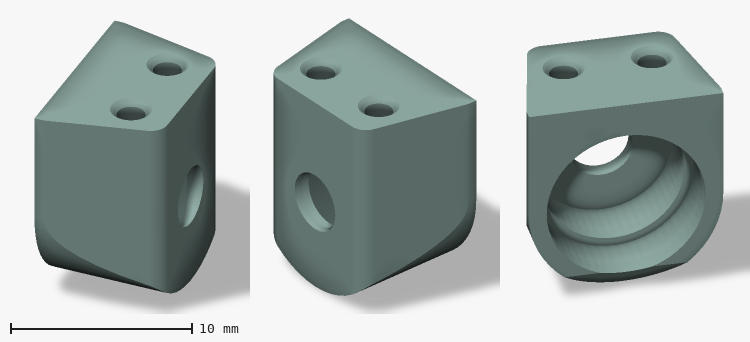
import cadquery as cq

depth = 7.0
width = 11.0
height = 12.0
radius = width / 2
axis_z = radius

straight_flank = 0.58
back_width = 8.0
back_corner_radius = 1.0

mouth_diameter = 9.0
mouth_depth = 3.0
bore_diameter = 8.0
bore_depth = 6.0
exit_diameter = 3.5

bevel_depth = 0.84
bevel_height = 1.25

screw_x = 4.5
screw_spacing = 5.0
screw_diameter = 1.6
countersink_diameter = 2.3
countersink_depth = (countersink_diameter - screw_diameter) / 2


def arched_block():
    """Flat-topped block with a half-round underside."""
    block = cq.Workplane("XY").box(depth, width, height - axis_z, centered=(False, True, False))
    block = block.translate((0, 0, axis_z))
    underside = cq.Workplane("YZ").center(0, axis_z).circle(radius).extrude(depth)
    return block.union(underside)


def tapered_plan():
    """Full-height prism that narrows toward a back with rounded corners."""
    outline = [
        (0, -width / 2),
        (straight_flank, -width / 2),
        (depth, -back_width / 2),
        (depth, back_width / 2),
        (straight_flank, width / 2),
        (0, width / 2),
    ]
    prism = cq.Workplane("XY").polyline(outline).close().extrude(height)
    return prism.edges("|Z and >X").fillet(back_corner_radius)


def bore_cylinder(diameter, length):
    """Cylinder on the bore axis, starting at the front face."""
    return cq.Workplane("YZ").center(0, axis_z).circle(diameter / 2).extrude(length)


def front_bevel():
    """Wedge removed from the lower front edge."""
    corner = [(0, 0), (bevel_depth, 0), (0, bevel_height)]
    return cq.Workplane("XZ").polyline(corner).close().extrude(radius, both=True)


def screw_hole(y):
    """Countersunk hole that runs from the top face down to the bore axis."""
    profile = [
        (0, height),
        (countersink_diameter / 2, height),
        (screw_diameter / 2, height - countersink_depth),
        (screw_diameter / 2, axis_z),
        (0, axis_z),
    ]
    hole = cq.Workplane("XZ").polyline(profile).close().revolve(360, (0, 0, 0), (0, 1, 0))
    return hole.translate((screw_x, y, 0))


result = arched_block().intersect(tapered_plan())
result = result.cut(bore_cylinder(mouth_diameter, mouth_depth))
result = result.cut(bore_cylinder(bore_diameter, bore_depth))
result = result.cut(bore_cylinder(exit_diameter, depth))
result = result.cut(front_bevel())
for side in (-1, 1):
    result = result.cut(screw_hole(side * screw_spacing / 2))